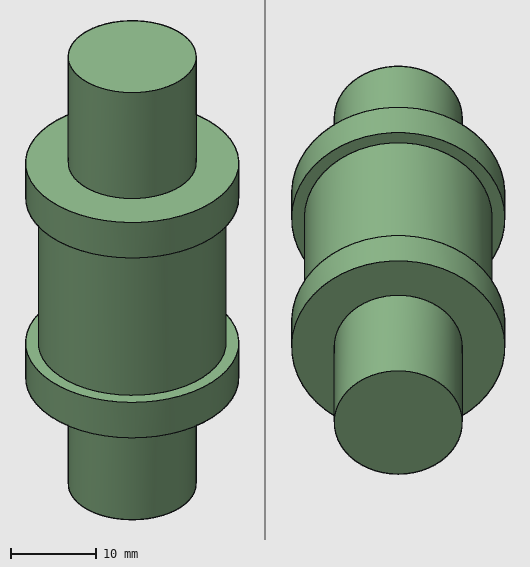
import cadquery as cq

total_length = 60.5
journal_length = 15.0
collar_thickness = 5.0
journal_diameter = 15.0
collar_diameter = 25.0
body_diameter = 22.0

body_length = total_length - 2 * (journal_length + collar_thickness)


def centered_cylinder(diameter, length):
    """Cylinder along Z, centred on the origin."""
    return cq.Workplane("XY").cylinder(length, diameter / 2)


shaft = centered_cylinder(journal_diameter, total_length)

result = shaft.union(centered_cylinder(body_diameter, body_length))

collar_offset = (body_length + collar_thickness) / 2
for side in (-1, 1):
    collar = centered_cylinder(collar_diameter, collar_thickness)
    result = result.union(collar.translate((0, 0, side * collar_offset)))